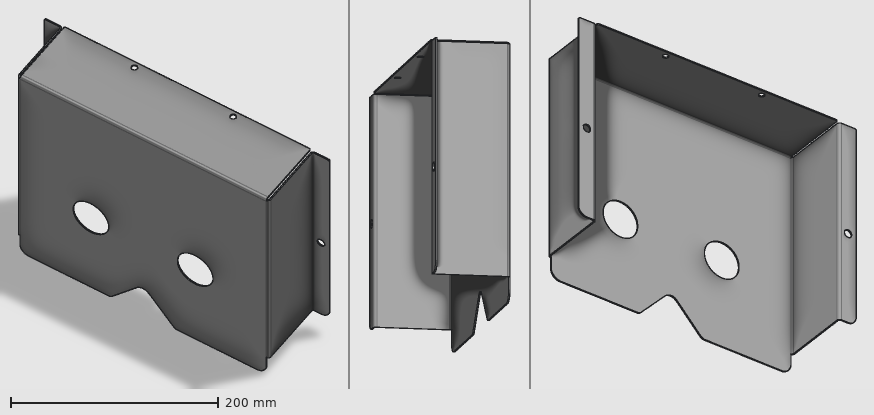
import cadquery as cq
import math

thickness = 1.524
bend_inner_radius = 1.7
bend_outer_radius = bend_inner_radius + thickness

overall_width = 330.33
overall_depth = 77.72
overall_height = 254.0

panel_width = 285.2
panel_corner_radius = 11.0
top_corner_radius = 1.5

wall_outer_x = panel_width / 2 + bend_outer_radius
wall_bottom_z = 23.8
top_gap = 1.8
wall_top_z = overall_height - top_gap
flange_bottom_radius = 9.525
flange_top_radius = 2.0

window_diameter = 41.275
window_spacing = 120.65
window_z = 100.2
flange_hole_diameter = 8.7
flange_hole_x = 155.4
flange_hole_z = 127.0
top_hole_diameter = 6.35
top_hole_spacing = 114.3
top_hole_edge_distance = 6.5

notch_half_width = 37.3
notch_half_angle = 43.2
notch_tip_radius = 9.525
notch_mouth_radius = 6.0


def make_front_panel():
    """Flat front sheet, up to the start of the top bend."""
    panel = cq.Workplane("XY").box(
        panel_width, thickness, overall_height - bend_outer_radius, centered=(True, False, False)
    )
    return panel.edges("|Y and <Z").fillet(panel_corner_radius)


def make_bend(length):
    """Quarter-round bend from the -Y face to the +X face, centred on the Z axis."""
    ring = cq.Workplane("XY").circle(bend_outer_radius).circle(bend_inner_radius).extrude(length)
    quadrant = (
        cq.Workplane("XY")
        .rect(bend_outer_radius, -bend_outer_radius, centered=False)
        .extrude(length)
    )
    return ring.intersect(quadrant)


def make_top_panel():
    """Top sheet running back from the front panel, with its front bend."""
    bend = (
        make_bend(panel_width)
        .rotate((0, 0, 0), (0, 1, 0), -90)
        .translate((panel_width / 2, bend_outer_radius, overall_height - bend_outer_radius))
    )
    sheet = (
        cq.Workplane("XY")
        .box(panel_width, overall_depth - bend_outer_radius, thickness, centered=(True, False, False))
        .translate((0, bend_outer_radius, overall_height - thickness))
        .edges("|Z and >Y")
        .fillet(top_corner_radius)
    )
    return bend.union(sheet)


def make_right_side():
    """Right side wall with its front bend, rear bend and mounting flange."""
    wall_height = wall_top_z - wall_bottom_z
    rear_bend_y = overall_depth - bend_outer_radius
    flange_start_x = wall_outer_x + bend_inner_radius
    flange_width = overall_width / 2 - flange_start_x

    front_bend = make_bend(wall_height).translate((panel_width / 2, bend_outer_radius, wall_bottom_z))
    envelope = (
        cq.Workplane("XY")
        .box(overall_width, overall_depth, overall_height, centered=(True, False, False))
        .edges("|X and <Y and >Z")
        .fillet(bend_outer_radius)
    )
    front_bend = front_bend.intersect(envelope)
    wall = (
        cq.Workplane("XY")
        .box(thickness, rear_bend_y - bend_outer_radius, wall_height, centered=False)
        .translate((wall_outer_x - thickness, bend_outer_radius, wall_bottom_z))
    )
    rear_bend = (
        make_bend(wall_height)
        .rotate((0, 0, 0), (0, 0, 1), 180)
        .translate((flange_start_x, rear_bend_y, wall_bottom_z))
    )
    flange = (
        cq.Workplane("XY")
        .box(flange_width, thickness, wall_height, centered=False)
        .translate((flange_start_x, overall_depth - thickness, wall_bottom_z))
    )
    flange = flange.edges("|Y and >X and <Z").fillet(flange_bottom_radius)
    flange = flange.edges("|Y and >X and >Z").fillet(flange_top_radius)
    return front_bend.union(wall).union(rear_bend).union(flange)


def make_y_hole(x, z, diameter):
    """Cutter along Y through the full depth of the part."""
    return cq.Workplane("XZ").center(x, z).circle(diameter / 2).extrude(-overall_depth)


def make_top_hole(x):
    """Cutter along Z through the top panel, near its rear edge."""
    return (
        cq.Workplane("XY", origin=(0, 0, overall_height - thickness))
        .center(x, overall_depth - top_hole_edge_distance)
        .circle(top_hole_diameter / 2)
        .extrude(thickness)
    )


def cut_notch(panel):
    """V notch with a rounded tip and rounded mouth corners."""
    half_angle = math.radians(notch_half_angle)
    sharp_tip_z = notch_half_width / math.tan(half_angle)
    notch = (
        cq.Workplane("XZ")
        .polyline([(-notch_half_width, 0), (0, sharp_tip_z), (notch_half_width, 0)])
        .close()
        .extrude(-thickness)
        .edges("|Y and >Z")
        .fillet(notch_tip_radius)
    )
    panel = panel.cut(notch)
    for side in (-1, 1):
        corner = cq.selectors.NearestToPointSelector((side * notch_half_width, thickness / 2, 0))
        panel = panel.edges(corner).fillet(notch_mouth_radius)
    return panel


right_side = make_right_side()
result = cut_notch(make_front_panel()).union(make_top_panel())
result = result.union(right_side).union(right_side.mirror("YZ"))

for side in (-1, 1):
    result = result.cut(make_y_hole(side * window_spacing / 2, window_z, window_diameter))
    result = result.cut(make_y_hole(side * flange_hole_x, flange_hole_z, flange_hole_diameter))
    result = result.cut(make_top_hole(side * top_hole_spacing / 2))